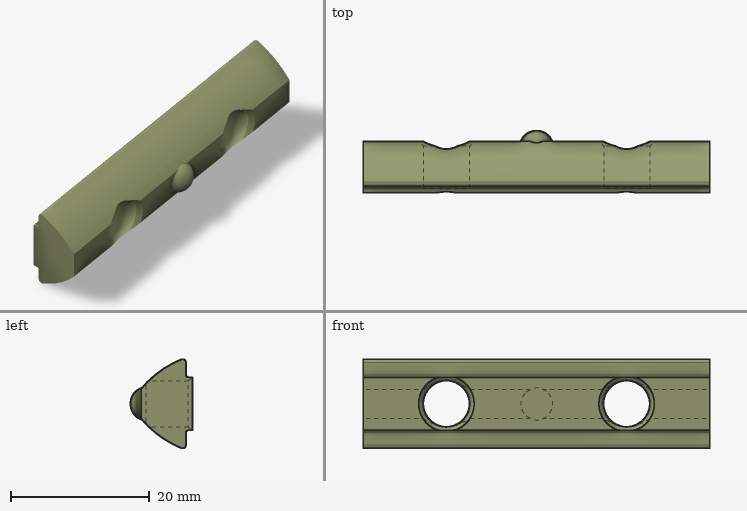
import cadquery as cq
import math

length = 50.0
back_y = 7.45
back_half_height = 2.1
lip_y = 0.95
half_height = 6.45
tip_radius = 0.5
flank_angle = math.radians(22)

pad_half_height = 3.85
pad_edge_radius = 0.2
pad_root_radius = 0.3

hole_diameter = 6.65
countersink_diameter = 8.0
hole_spacing = 26.0
countersink_depth = (countersink_diameter - hole_diameter) / 2

overall_depth = 9.0
ball_radius = 2.45


def polar_point(center, radius, angle):
    """Point on a circle at an angle measured from +Y toward +Z."""
    return center[0] + radius * math.cos(angle), center[1] + radius * math.sin(angle)


def make_half_bar():
    """Upper half of the bar, from the plane Z = 0 upward."""
    tip_center = (lip_y + tip_radius, half_height - tip_radius)
    tip_start_angle = math.pi
    tip_end_angle = math.pi / 2 - flank_angle
    tip_middle = polar_point(tip_center, tip_radius, (tip_start_angle + tip_end_angle) / 2)
    tip_end = polar_point(tip_center, tip_radius, tip_end_angle)
    edge_center = (pad_edge_radius, pad_half_height - pad_edge_radius)
    root_center = (lip_y - pad_root_radius, pad_half_height + pad_root_radius)
    flank_direction = (math.cos(flank_angle), -math.sin(flank_angle))

    profile = (
        cq.Workplane("YZ", origin=(-length / 2, 0, 0))
        .moveTo(0, 0)
        .lineTo(0, edge_center[1])
        .threePointArc(
            polar_point(edge_center, pad_edge_radius, math.radians(135)),
            (edge_center[0], pad_half_height),
        )
        .lineTo(root_center[0], pad_half_height)
        .threePointArc(
            polar_point(root_center, pad_root_radius, math.radians(-45)),
            (lip_y, root_center[1]),
        )
        .lineTo(lip_y, tip_center[1])
        .threePointArc(tip_middle, tip_end)
    )
    flank_end = (back_y, back_half_height)
    chord = (flank_end[0] - tip_end[0], flank_end[1] - tip_end[1])
    chord_angle = math.atan2(-chord[1], chord[0])
    half_sweep = chord_angle - flank_angle
    flank_radius = math.hypot(*chord) / (2 * math.sin(half_sweep))
    flank_center = (
        tip_end[0] + flank_radius * flank_direction[1],
        tip_end[1] - flank_radius * flank_direction[0],
    )
    flank_middle = polar_point(flank_center, flank_radius, math.pi / 2 - chord_angle)
    return profile.threePointArc(flank_middle, flank_end).lineTo(back_y, 0).close().extrude(length)


def make_hole_cutter(x):
    """Hole with a countersink at each face, turned about an axis along Y."""
    hole_radius = hole_diameter / 2
    sink_radius = countersink_diameter / 2
    return (
        cq.Workplane("XY")
        .polyline([
            (0, 0),
            (sink_radius, 0),
            (hole_radius, countersink_depth),
            (hole_radius, back_y - countersink_depth),
            (sink_radius, back_y),
            (0, back_y),
        ])
        .close()
        .revolve(360, (0, 0, 0), (0, 1, 0))
        .translate((x, 0, 0))
    )


half_bar = make_half_bar()
bar = half_bar.union(half_bar.mirror("XY")).clean()

for hole_x in (-hole_spacing / 2, hole_spacing / 2):
    bar = bar.cut(make_hole_cutter(hole_x))

ball = cq.Workplane("XY").sphere(ball_radius).translate((0, overall_depth - ball_radius, 0))
result = bar.union(ball)